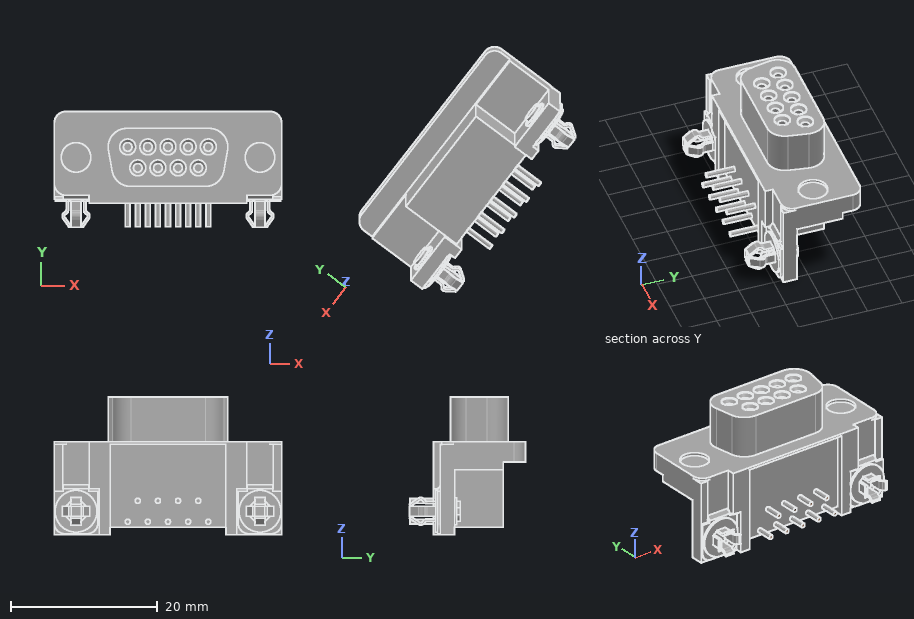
import cadquery as cq
import math


width = 31.0
flange_depth = 12.55
flange_thickness = 2.8
flange_corner_radius = 1.6
body_height = 12.7
body_back_y = 9.55
body_step_z = -3.8
wall_back_y = 2.9
housing_bottom_z = -11.68

recess_half_width = 7.87
recess_top_z = -0.37
recess_depth = 0.87
clip_bay_inner_x = 9.4
clip_bay_top_z = -6.4
side_face_y = 0.93
channel_inner_x = 10.72
channel_outer_x = 14.35
channel_face_y = 1.12

shell_center_y = flange_depth / 2
shell_height = 6.1
shell_depth = 7.9
shell_mid_half_width = 7.93
shell_side_angle = 10.0
shell_corner_radius = 2.55

contact_row_width = 10.97
row_spacing = 2.85
row_counts = (5, 4)
contact_pitch = contact_row_width / (max(row_counts) - 1)
socket_radius = 0.6
socket_mouth_radius = 1.1
socket_rim_depth = 0.15
socket_depth = 3.1
pin_radius = 0.35
pin_tip_y = -3.2
pin_lower_z = -10.9

mount_x = 12.52
mount_hole_radius = 2.0
mount_hole_depth = 0.45
clip_z = -9.48
bracket_half_width = 2.95
bracket_top_z = -6.72
bracket_bottom_z = -12.52
bracket_corner_radius = 1.35
bracket_face_y = 0.6
bracket_tab_half_width = 1.75
bracket_tab_top_z = -5.85
disc_radius = 2.85
disc_face_y = 0.3
rivet_flange_radius = 1.85
rivet_flange_thickness = 0.28
rivet_head_radius = 1.35
rivet_head_flats = 2.55
rivet_head_thickness = 0.5

leg_width = 1.4
leg_root_reach = 1.35
leg_thickness = 0.35
leg_bend_y = -1.02
leg_bend_radius = 0.25
leg_peak_reach = 2.1
leg_peak_y = -1.58
leg_peak_radius = 0.6
leg_tip_reach = 0.95
leg_tip_y = -3.25


def block(x_range, y_range, z_range):
    """Box spanning the given coordinate ranges."""
    sizes = [high - low for low, high in (x_range, y_range, z_range)]
    return cq.Workplane("XY").box(*sizes, centered=False).translate((x_range[0], y_range[0], z_range[0]))


def y_cylinder(radius, y_start, y_end, x, z):
    """Cylinder along Y."""
    start = cq.Vector(x, y_start, z)
    return cq.Workplane(cq.Solid.makeCylinder(radius, y_end - y_start, start, cq.Vector(0, 1, 0)))


def both_sides(shape):
    """The shape together with its mirror image across X = 0."""
    return shape.union(shape.mirror("YZ"))


def contact_row(count):
    """X positions of one row of contacts."""
    return [(i - (count - 1) / 2) * contact_pitch for i in range(count)]


def make_body():
    half = width / 2
    full_x = (-half, half)
    body = block(full_x, (0, flange_depth), (-flange_thickness, 0))
    body = body.edges("|Z and >Y").fillet(flange_corner_radius)
    body = body.union(block(full_x, (0, body_back_y), (body_step_z, 0)))
    body = body.union(block(full_x, (0, wall_back_y), (-body_height, 0)))
    inner_x = (-recess_half_width, recess_half_width)
    body = body.union(block(inner_x, (0, body_back_y), (housing_bottom_z, 0)))
    body = body.cut(block(inner_x, (0, recess_depth), (-body_height, recess_top_z)))
    return body.cut(block(inner_x, (0, wall_back_y), (-body_height, housing_bottom_z)))


def make_side_relief():
    """Material removed around one clip on the board side (+X)."""
    half = width / 2
    relief = block((channel_inner_x, half), (0, side_face_y), (-body_height, 0))
    relief = relief.union(block((clip_bay_inner_x, half), (0, side_face_y), (-body_height, clip_bay_top_z)))
    channel = block((channel_inner_x, channel_outer_x), (0, channel_face_y), (clip_bay_top_z, 0))
    corner_x = half - flange_corner_radius
    corner_y = channel_face_y + flange_corner_radius
    corner = block((corner_x, half), (0, corner_y), (recess_top_z, 0))
    round_end = cq.Workplane("XY").center(corner_x, corner_y).circle(flange_corner_radius)
    round_end = round_end.extrude(recess_top_z)
    return relief.union(channel).union(corner.cut(round_end))


def make_shell():
    taper = shell_depth / 2 * math.tan(math.radians(shell_side_angle))
    wide = shell_mid_half_width + taper
    narrow = shell_mid_half_width - taper
    back_y = shell_center_y + shell_depth / 2
    front_y = shell_center_y - shell_depth / 2
    outline = [(-wide, back_y), (wide, back_y), (narrow, front_y), (-narrow, front_y)]
    shell = cq.Workplane("XY").polyline(outline).close().extrude(shell_height)
    return shell.edges("|Z").fillet(shell_corner_radius)


def make_sockets():
    """Shallow rims, 45-degree cones and bores of all contacts."""
    cone_end = socket_rim_depth + socket_mouth_radius - socket_radius
    profile = [
        (0, 0),
        (socket_mouth_radius, 0),
        (socket_mouth_radius, -socket_rim_depth),
        (socket_radius, -cone_end),
        (socket_radius, -socket_depth),
        (0, -socket_depth),
    ]
    socket = cq.Workplane("XZ").polyline(profile).close().revolve(360, (0, 0), (0, 1))
    back_row_y = shell_center_y + row_spacing / 2
    sockets = cq.Workplane("XY")
    for row, count in enumerate(row_counts):
        y = back_row_y - row * row_spacing
        for x in contact_row(count):
            sockets = sockets.add(socket.translate((x, y, shell_height)))
    return sockets.combine()


def make_pins():
    pins = cq.Workplane("XY")
    for row, count in enumerate(row_counts):
        z = pin_lower_z + row * row_spacing
        for x in contact_row(count):
            pins = pins.add(y_cylinder(pin_radius, pin_tip_y, recess_depth + pin_radius, x, z))
    return pins.combine()


def make_mount_hole():
    hole = cq.Workplane("XY").center(mount_x, shell_center_y).circle(mount_hole_radius)
    return hole.extrude(-mount_hole_depth)


def make_bracket():
    """Plate, inclined tab and disc carrying one clip (+X), with the octagonal opening for its legs."""
    plate = block(
        (mount_x - bracket_half_width, mount_x + bracket_half_width),
        (bracket_face_y, side_face_y),
        (bracket_bottom_z, bracket_top_z),
    )
    plate = plate.edges("|Y and <Z").fillet(bracket_corner_radius)
    tab_profile = [
        (channel_face_y, bracket_tab_top_z),
        (bracket_face_y, clip_bay_top_z),
        (bracket_face_y, bracket_top_z),
        (channel_face_y, bracket_top_z),
    ]
    tab = cq.Workplane("YZ").polyline(tab_profile).close().extrude(bracket_tab_half_width, both=True)
    disc = y_cylinder(disc_radius, disc_face_y, bracket_face_y, mount_x, clip_z)
    bracket = plate.union(tab.translate((mount_x, 0, 0))).union(disc)

    half_leg = leg_width / 2
    quarter = [(leg_root_reach, half_leg), (half_leg, leg_root_reach)]
    octagon = []
    for turn in range(4):
        for u, v in quarter:
            octagon.append((u, v))
        quarter = [(-v, u) for u, v in quarter]
    opening = cq.Workplane("XZ").polyline(octagon).close().extrude(-side_face_y)
    return bracket.cut(opening.translate((mount_x, 0, clip_z)))


def make_legs():
    """Four bent spring legs around the axis of one clip (+X)."""
    tip_run = leg_peak_reach - leg_tip_reach
    tip_drop = leg_peak_y - leg_tip_y
    tip_angle = math.atan2(tip_run, tip_drop)
    bend_angle = math.atan2(leg_peak_reach - leg_root_reach, leg_bend_y - leg_peak_y)
    inner_root = leg_root_reach - leg_thickness
    inner_bend_y = leg_bend_y - leg_thickness * math.tan(bend_angle / 2)
    half_turn = (bend_angle + tip_angle) / 2
    peak_shift = leg_thickness / math.cos(half_turn)
    shift_angle = (bend_angle - tip_angle) / 2
    inner_peak = (
        leg_peak_reach - peak_shift * math.cos(shift_angle),
        leg_peak_y - peak_shift * math.sin(shift_angle),
    )
    inner_tip = (
        leg_tip_reach - leg_thickness * math.cos(tip_angle),
        leg_tip_y + leg_thickness * math.sin(tip_angle),
    )
    profile = [
        (leg_root_reach, side_face_y),
        (leg_root_reach, leg_bend_y),
        (leg_peak_reach, leg_peak_y),
        (leg_tip_reach, leg_tip_y),
        inner_tip,
        inner_peak,
        (inner_root, inner_bend_y),
        (inner_root, side_face_y),
    ]
    leg = cq.Workplane("XY").polyline(profile).close().extrude(leg_width / 2, both=True)
    bends = [
        ((leg_root_reach, leg_bend_y), leg_bend_radius),
        ((inner_root, inner_bend_y), leg_bend_radius + leg_thickness),
        ((leg_peak_reach, leg_peak_y), leg_peak_radius),
        (inner_peak, leg_peak_radius - leg_thickness),
    ]
    for (reach, y), radius in bends:
        leg = leg.edges(cq.NearestToPointSelector((reach, y, 0))).fillet(radius)
    legs = cq.Workplane("XY")
    for turn in range(4):
        legs = legs.add(leg.rotate((0, 0, 0), (0, 1, 0), 90 * turn))
    return legs.combine().translate((mount_x, 0, clip_z))


def make_rivet():
    """Stepped rivet head behind the clip wall (+X)."""
    flange_end = wall_back_y + rivet_flange_thickness
    flange = y_cylinder(rivet_flange_radius, wall_back_y, flange_end, mount_x, clip_z)
    head = y_cylinder(rivet_head_radius, wall_back_y, flange_end + rivet_head_thickness, mount_x, clip_z)
    half_flats = rivet_head_flats / 2
    flats = block(
        (mount_x - half_flats, mount_x + half_flats),
        (wall_back_y, flange_end + rivet_head_thickness),
        (clip_z - rivet_head_radius, clip_z + rivet_head_radius),
    )
    return flange.union(head.intersect(flats))


clip = make_bracket().union(make_legs()).union(make_rivet())

result = make_body().cut(both_sides(make_side_relief()))
result = result.union(make_shell()).cut(make_sockets())
result = result.cut(both_sides(make_mount_hole()))
result = result.union(make_pins()).union(both_sides(clip))